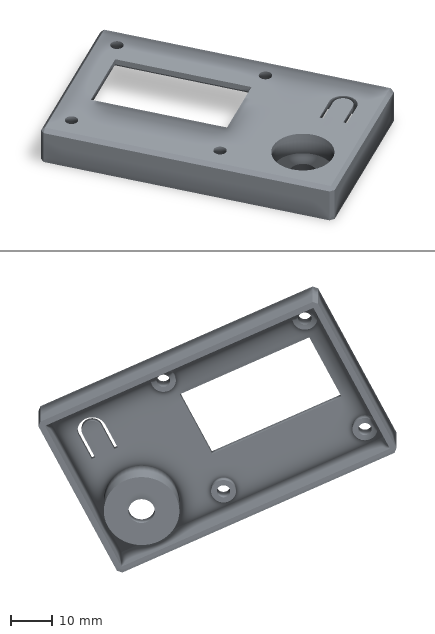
import cadquery as cq

length = 75.0
width = 45.0
height = 9.5
edge_chamfer = 1.0
wall = 1.5
cavity_height = height - wall

window_length = 34.8
window_width = 17.8
window_center = (-12.5, 1.95)

screw_hole_diameter = 3.2
screw_boss_diameter = 6.0
screw_boss_height = 1.5
screw_spacing_x = 37.95
screw_spacing_y = 33.0
screw_center_x = -12.5

cup_center = (25.5, -10.5)
cup_diameter = 15.2
cup_depth = 5.8
cup_wall = 1.5
cup_floor = 2.0
cup_hole_diameter = 6.4

slot_width = 1.0
slot_outer_radius = 3.5
slot_inner_radius = slot_outer_radius - slot_width
slot_arc_center = (28.05, 11.4)
slot_leg_length = 7.05


def cylinder_down(center, diameter, top, depth):
    """Vertical cylinder reaching down from the given top height."""
    return (
        cq.Workplane("XY", origin=(*center, top))
        .circle(diameter / 2)
        .extrude(-depth)
    )


def make_shell():
    outer = cq.Workplane("XY").box(length, width, height, centered=(True, True, False))
    outer = outer.edges("|Z or >Z").chamfer(edge_chamfer)
    cavity = cq.Workplane("XY").box(
        length - 2 * wall, width - 2 * wall, cavity_height, centered=(True, True, False)
    )
    return outer.cut(cavity)


def tongue_outline(radius):
    """Solid bar through the top plate with straight legs and a round +Y end."""
    x, y = slot_arc_center
    return (
        cq.Workplane("XY", origin=(x, y, cavity_height))
        .moveTo(-radius, -slot_leg_length)
        .lineTo(-radius, 0)
        .threePointArc((0, radius), (radius, 0))
        .lineTo(radius, -slot_leg_length)
        .close()
        .extrude(wall)
    )


def make_window():
    return (
        cq.Workplane("XY", origin=(*window_center, cavity_height))
        .rect(window_length, window_width)
        .extrude(wall)
    )


screw_centers = [
    (screw_center_x + side_x * screw_spacing_x / 2, side_y * screw_spacing_y / 2)
    for side_x in (-1, 1)
    for side_y in (-1, 1)
]

result = make_shell().cut(make_window())
slot = tongue_outline(slot_outer_radius).cut(tongue_outline(slot_inner_radius))
result = result.cut(slot)

plate_middle = height - wall / 2
for center in screw_centers:
    boss_depth = wall / 2 + screw_boss_height
    result = result.union(cylinder_down(center, screw_boss_diameter, plate_middle, boss_depth))
    result = result.cut(cylinder_down(center, screw_hole_diameter, height, height))

cup_body = cylinder_down(
    cup_center, cup_diameter + 2 * cup_wall, plate_middle, cup_depth + cup_floor - wall / 2
)
result = result.union(cup_body)
result = result.cut(cylinder_down(cup_center, cup_diameter, height, cup_depth))
result = result.cut(cylinder_down(cup_center, cup_hole_diameter, height, height))